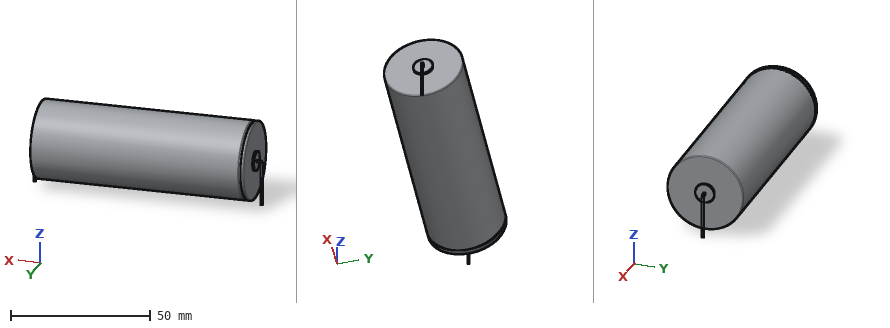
import cadquery as cq

overall_length = 85.9
can_length = 80.1
can_diameter = 29.0
can_radius = can_diameter / 2
end_rounding = 0.35

groove_offset = 1.6
groove_radius = 0.35
groove_lip_rounding = 0.3

terminal_diameter = 7.2
terminal_height = 0.7
wire_diameter = 0.9
bend_radius = 0.9
overall_height = 31.0

can_end = can_length / 2
lead_x = (overall_length - wire_diameter) / 2
lead_bottom = can_radius - overall_height


def make_can():
    """Can revolved about X, with softened end edges and a round-lipped crimp groove."""
    groove_x = groove_offset - can_end
    groove_wall = can_radius - groove_lip_rounding
    groove_half_width = groove_radius + groove_lip_rounding
    profile = (
        cq.Workplane("XY")
        .moveTo(-can_end, 0)
        .lineTo(-can_end, can_radius - end_rounding)
        .radiusArc((-can_end + end_rounding, can_radius), end_rounding)
        .lineTo(groove_x - groove_half_width, can_radius)
        .radiusArc((groove_x - groove_radius, groove_wall), groove_lip_rounding)
        .threePointArc((groove_x, groove_wall - groove_radius), (groove_x + groove_radius, groove_wall))
        .radiusArc((groove_x + groove_half_width, can_radius), groove_lip_rounding)
        .lineTo(can_end - end_rounding, can_radius)
        .radiusArc((can_end, can_radius - end_rounding), end_rounding)
        .lineTo(can_end, 0)
        .close()
    )
    return profile.revolve(360, (0, 0, 0), (1, 0, 0))


def make_terminal():
    """Disc on the +X end of the can."""
    return cq.Workplane("YZ", origin=(can_end, 0, 0)).circle(terminal_diameter / 2).extrude(terminal_height)


def make_lead():
    """Wire leaving the +X disc along the axis, then bending down."""
    path = (
        cq.Workplane("XZ")
        .moveTo(can_end, 0)
        .lineTo(lead_x - bend_radius, 0)
        .radiusArc((lead_x, -bend_radius), bend_radius)
        .lineTo(lead_x, lead_bottom)
    )
    return cq.Workplane("YZ", origin=(can_end, 0, 0)).circle(wire_diameter / 2).sweep(path)


connection = make_terminal().union(make_lead())
result = make_can().union(connection).union(connection.mirror("YZ"))